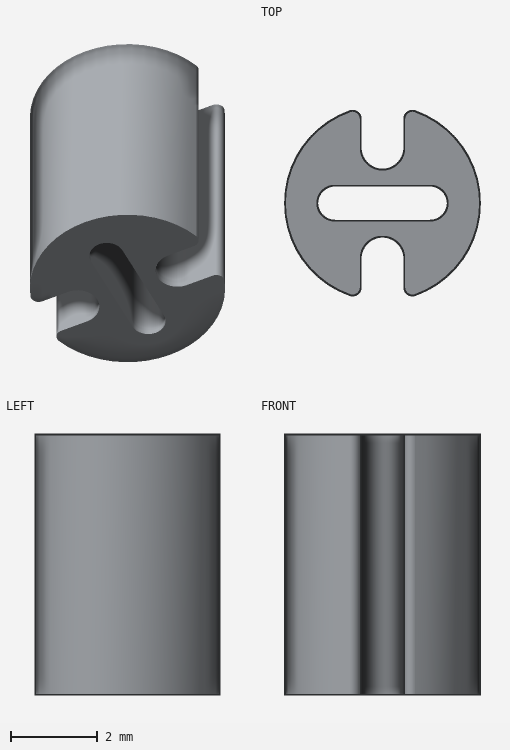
import cadquery as cq

body_diameter = 4.5
body_height = 6.0
slot_length = 3.0
slot_width = 0.8
notch_width = 1.0
web_thickness = 0.375
lip_fillet_radius = 0.19

body_radius = body_diameter / 2
notch_radius = notch_width / 2
notch_floor = slot_width / 2 + web_thickness
notch_length = body_radius - notch_floor


def make_body():
    """Plain cylinder standing on the XY plane."""
    return cq.Workplane("XY").circle(body_radius).extrude(body_height)


def cut_notches(body):
    """Cut a round-bottomed notch through the full height on the +Y and -Y sides."""
    for side in (1, -1):
        round_end = (
            cq.Workplane("XY")
            .center(0, side * (notch_floor + notch_radius))
            .circle(notch_radius)
            .extrude(body_height)
        )
        straight_walls = (
            cq.Workplane("XY")
            .center(0, side * (notch_floor + notch_radius + notch_length / 2))
            .rect(notch_width, notch_length)
            .extrude(body_height)
        )
        body = body.cut(round_end.union(straight_walls))
    return body


def round_lips(body):
    """Fillet the four vertical edges at the mouths of the notches."""
    mouth_y = (body_radius**2 - notch_radius**2) ** 0.5
    for x in (notch_radius, -notch_radius):
        for y in (mouth_y, -mouth_y):
            lip = cq.selectors.NearestToPointSelector((x, y, body_height / 2))
            body = body.edges("|Z").edges(lip).fillet(lip_fillet_radius)
    return body


def cut_central_slot(body):
    """Cut the obround slot along X through the full height."""
    slot = cq.Workplane("XY").slot2D(slot_length, slot_width).extrude(body_height)
    return body.cut(slot)


result = cut_central_slot(round_lips(cut_notches(make_body())))